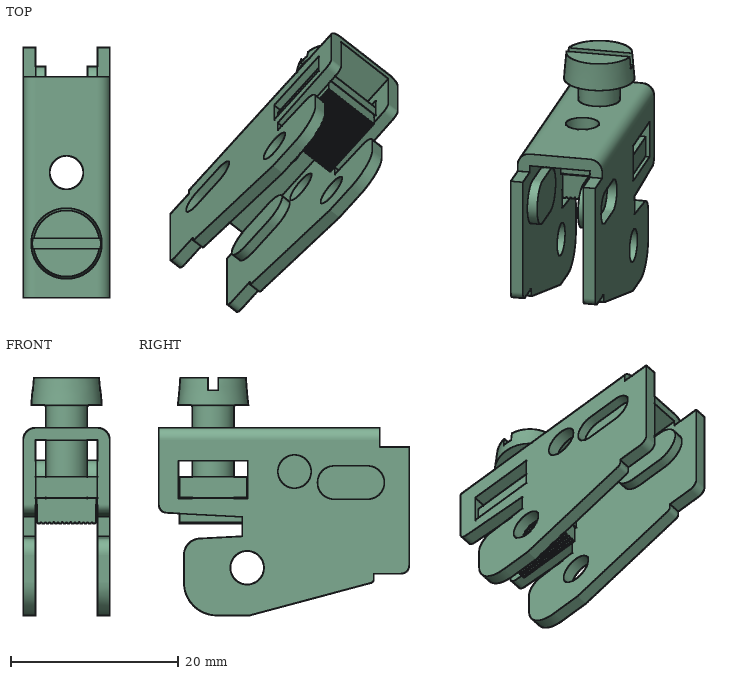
import cadquery as cq
import math


length = 30.0
width = 10.4
height = 22.5
wall = 1.5
inner_width = width - 2 * wall

roof_length = 26.5
rear_top = 20.2
rear_bottom = 5.0
step_y = 25.77
sloped_edge_end_y = 10.85
sloped_edge_angle = 15.0
jaw_front_y = 3.0
mouth_back_y = 10.0
mouth_bottom = 9.5
mouth_top = 11.82
mouth_angle = 3.0

rear_radius = 1.0
step_radius = 0.5
jaw_bottom_radius = 4.0
jaw_top_radius = 2.0
nose_radius = 1.0

hole_diameter = 4.0
pivot_y = 10.6
pivot_z = 5.73
roof_hole_y = 15.0
side_hole_y = 16.25
side_hole_z = 17.25

dimple_y = 23.0
dimple_z = 15.93
dimple_length = 8.0
dimple_height = 4.0
dimple_depth = 1.2
boss_margin = 0.7

clamp_y = 6.5
nut_length = 8.1
nut_width = 9.5
nut_height = 2.5
nut_bottom = 14.13
window_length = 8.28
window_height = 4.5
window_bottom = 14.05

block_width = 7.08
block_length = nut_length
block_top = 14.05
block_bottom = 11.0
tooth_count = 14
tooth_pitch = block_width / tooth_count
groove_width = 0.3
groove_depth = 0.18

screw_top = 28.5
head_height = 3.3
head_diameter = 8.5
head_draft = 5.0
shank_diameter = 5.0
neck_radius = 0.2
slot_width = 1.2
slot_depth = 1.5


def box(size_x, y_start, y_end, z_start, z_end):
    """Block centred on X between the given Y and Z limits."""
    size_y = y_end - y_start
    size_z = z_end - z_start
    return cq.Workplane("XY").box(size_x, size_y, size_z, centered=(True, False, False)).translate(
        (0, y_start, z_start)
    )


def clamp_cylinder(diameter, z_start, z_end):
    """Vertical cylinder on the screw axis."""
    return (
        cq.Workplane("XY", origin=(0, clamp_y, z_start)).circle(diameter / 2).extrude(z_end - z_start)
    )


def make_wall_outline():
    """Side outline extruded over the full width, with its corners rounded."""
    slope = math.tan(math.radians(sloped_edge_angle))
    mouth_slope = math.tan(math.radians(mouth_angle))
    step_corner = (step_y, (step_y - sloped_edge_end_y) * slope)
    rear_corner = (length, rear_bottom)
    jaw_bottom_corner = (jaw_front_y, 0)
    jaw_top_corner = (jaw_front_y, mouth_bottom - (mouth_back_y - jaw_front_y) * mouth_slope)
    nose_corner = (0, mouth_top + mouth_back_y * mouth_slope)
    points = [
        (0, height),
        (roof_length, height),
        (roof_length, rear_top),
        (length, rear_top),
        rear_corner,
        (step_y, rear_bottom),
        step_corner,
        (sloped_edge_end_y, 0),
        jaw_bottom_corner,
        jaw_top_corner,
        (mouth_back_y, mouth_bottom),
        (mouth_back_y, mouth_top),
        nose_corner,
    ]
    body = cq.Workplane("YZ").polyline(points).close().extrude(width / 2, both=True)
    rounded_corners = [
        (rear_corner, rear_radius),
        (step_corner, step_radius),
        (jaw_bottom_corner, jaw_bottom_radius),
        (jaw_top_corner, jaw_top_radius),
        (nose_corner, nose_radius),
    ]
    for (y, z), radius in rounded_corners:
        body = body.edges(cq.NearestToPointSelector((0, y, z))).fillet(radius)
    return body


def make_obround(margin, x_start, x_end):
    """Obround prism on the dimple centre, enlarged all round by the margin."""
    return (
        cq.Workplane("YZ", origin=(x_start, dimple_y, dimple_z))
        .slot2D(dimple_length + 2 * margin, dimple_height + 2 * margin)
        .extrude(x_end - x_start)
    )


def make_bracket():
    body = make_wall_outline()
    body = body.edges("|Y and >Z").fillet(wall)
    body = body.cut(box(inner_width, 0, length, 0, height - wall))

    for side in (-1, 1):
        inner_face = side * inner_width / 2
        outer_face = side * width / 2
        body = body.union(make_obround(boss_margin, inner_face, inner_face - side * dimple_depth))
        body = body.cut(make_obround(0, outer_face, outer_face - side * dimple_depth))

    hole_radius = hole_diameter / 2
    pivot_hole = (
        cq.Workplane("YZ", origin=(-width / 2, pivot_y, pivot_z)).circle(hole_radius).extrude(width)
    )
    side_hole = (
        cq.Workplane("YZ", origin=(inner_width / 2, side_hole_y, side_hole_z))
        .circle(hole_radius)
        .extrude(wall)
    )
    roof_hole = cq.Workplane("XY", origin=(0, roof_hole_y, height)).circle(hole_radius).extrude(-wall)
    body = body.cut(pivot_hole).cut(side_hole).cut(roof_hole)

    window = box(
        width,
        clamp_y - window_length / 2,
        clamp_y + window_length / 2,
        window_bottom,
        window_bottom + window_height,
    )
    return body.cut(window).cut(clamp_cylinder(shank_diameter, height - wall, height))


def make_nut():
    nut_top = nut_bottom + nut_height
    plate = box(nut_width, clamp_y - nut_length / 2, clamp_y + nut_length / 2, nut_bottom, nut_top)
    return plate.cut(clamp_cylinder(shank_diameter, nut_bottom, nut_top))


def make_clamp_block():
    front = clamp_y - block_length / 2
    block = box(block_width, front, front + block_length, block_bottom, block_top)

    for index in range(tooth_count + 1):
        x = index * tooth_pitch - block_width / 2
        groove = (
            cq.Workplane("XZ", origin=(x, front, block_bottom))
            .polyline([(-groove_width / 2, 0), (0, groove_depth), (groove_width / 2, 0)])
            .close()
            .extrude(-block_length)
        )
        block = block.cut(groove)
    return block


def make_screw():
    """Slotted screw whose tip rests on the clamp block."""
    head_bottom = screw_top - head_height
    head_radius = head_diameter / 2
    shank_radius = shank_diameter / 2
    top_radius = head_radius - head_height * math.tan(math.radians(head_draft))
    neck_offset = neck_radius * (1 - math.sqrt(0.5))
    profile = (
        cq.Workplane("XZ")
        .moveTo(0, block_top)
        .lineTo(shank_radius, block_top)
        .lineTo(shank_radius, head_bottom - neck_radius)
        .threePointArc(
            (shank_radius + neck_offset, head_bottom - neck_offset),
            (shank_radius + neck_radius, head_bottom),
        )
        .lineTo(head_radius, head_bottom)
        .lineTo(top_radius, screw_top)
        .lineTo(0, screw_top)
        .close()
    )
    screw = profile.revolve(360, (0, 0), (0, 1)).translate((0, clamp_y, 0))
    slot = box(
        head_diameter,
        clamp_y - slot_width / 2,
        clamp_y + slot_width / 2,
        screw_top - slot_depth,
        screw_top,
    )
    return screw.cut(slot)


bracket = make_bracket()
nut = make_nut()
clamp_block = make_clamp_block()
screw = make_screw()

result = cq.Compound.makeCompound([bracket.val(), nut.val(), clamp_block.val(), screw.val()])